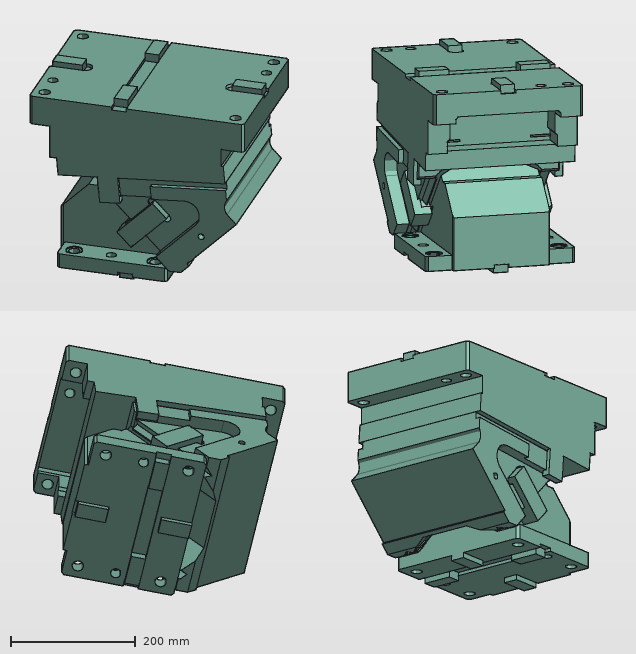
import cadquery as cq
import math


LENGTH = 360.0
HALF_WIDTH = 125.0
TOTAL_HEIGHT = 318.0
CORNER = 4.5
REACH = 432.0
MARGIN = 3.5

KEY_LENGTH = 50.0
KEY_WIDTH = 23.5
KEY_HEIGHT = 8.5
SLOT_WIDTH = 24.5
SLOT_DEPTH = 5.5

JOINT_X = 114.0
JOINT_Z = 180.0
JOINT_TILT = math.radians(5)
JOINT_END = 215.0

RAMP_X = 108.7
RAMP_Z = 151.2


def at_joint(along, above):
    """X and Z of a point given along and above the tilted joint plane."""
    x = JOINT_X + along * math.cos(JOINT_TILT) - above * math.sin(JOINT_TILT)
    z = JOINT_Z + along * math.sin(JOINT_TILT) + above * math.cos(JOINT_TILT)
    return (x, z)


def at_ramp(down, above):
    """X and Z of a point given down the ramp and above its surface."""
    half = math.sqrt(0.5)
    return (RAMP_X + (down + above) * half, RAMP_Z + (above - down) * half)


def square_to_joint_at(along, z):
    """Point at height z on the line that stands square to the joint at the given place."""
    above = (z - JOINT_Z - along * math.sin(JOINT_TILT)) / math.cos(JOINT_TILT)
    return at_joint(along, above)


def prism(points, y_min, y_max):
    """Closed X-Z outline extruded from y_min to y_max."""
    plane = cq.Workplane("XZ", origin=(0, y_max, 0))
    return plane.polyline(points).close().extrude(y_max - y_min)


def frame_block(frame, first, second, y_min, y_max):
    """Rectangular bar given by its (min, max) ranges along and above a tilted frame."""
    corners = [
        frame(first[0], second[0]),
        frame(first[1], second[0]),
        frame(first[1], second[1]),
        frame(first[0], second[1]),
    ]
    return prism(corners, y_min, y_max)


def box(x, y, z):
    """Box given by its (min, max) ranges."""
    size = (x[1] - x[0], y[1] - y[0], z[1] - z[0])
    return cq.Workplane("XY").box(*size, centered=False).translate((x[0], y[0], z[0]))


def both_sides(shape):
    """The shape together with its mirror image across the middle plane."""
    return shape.union(shape.mirror("XZ"))


def round_holes(places, diameter, z_min, z_max):
    """Vertical cylinders at the given X-Y places."""
    plane = cq.Workplane("XY", origin=(0, 0, z_min))
    return plane.pushPoints(places).circle(diameter / 2).extrude(z_max - z_min)


DRIVER_TOP = TOTAL_HEIGHT - KEY_HEIGHT
DRIVER_PLATE_BOTTOM = 259.5
DRIVER_LEFT = 34.2
DRIVER_STEP_Z = 204.0
DRIVER_LIP = -66.2
DRIVER_RIGHT = 322.0
DRIVER_RIGHT_STEP_Z = 229.5

LEG_LENGTH = 34.2
LEG_DEPTH = 44.5
LEG_INNER_Y = 118.8
HOOK_INNER_Y = 112.0
HOOK_TOP = 35.3

RECESS_TOP = 270.7
RECESS_WALL_TOP = 258.0
RECESS_FLOOR = 205.2
RECESS_DEPTH_X = 79.2
RECESS_HALF_WIDTH = 88.0
RECESS_LOW_HALF_WIDTH = 92.0
RECESS_LOW_TOP = 222.5
RECESS_CHAMFER = 4.5
RECESS_ROOF_X = 70.2
STOP_INNER_Y = 59.5
STOP_TOP = 215.3
STOP_BOTTOM = 212.5
STOP_THICKNESS = 3.5

BOLT_INSET = 19.8
BOLT_DIAMETER = 18.0
DOWEL_DIAMETER = 16.2
DOWEL_LEFT_Y = -60.0
DOWEL_RIGHT_Y = 64.8

TOP_CROSS_SLOT_X = 138.0
TOP_CROSS_KEY_Y = 59.8
TOP_END_KEY_GAP = 4.5
TOP_END_SLOT_LENGTH = 67.5


def driver_body():
    """Mounting plate with the stepped body below it, ending on the tilted joint plane."""
    plate = box((0, LENGTH), (-HALF_WIDTH, HALF_WIDTH), (DRIVER_PLATE_BOTTOM, DRIVER_TOP))
    plate = plate.edges("|Z").chamfer(CORNER)
    outline = [
        (DRIVER_LEFT, DRIVER_TOP),
        (DRIVER_LEFT, DRIVER_STEP_Z),
        square_to_joint_at(DRIVER_LIP, DRIVER_STEP_Z),
        at_joint(DRIVER_LIP, 0),
        at_joint(JOINT_END, 0),
        square_to_joint_at(JOINT_END, DRIVER_RIGHT_STEP_Z),
        (DRIVER_RIGHT, DRIVER_RIGHT_STEP_Z),
        (DRIVER_RIGHT, DRIVER_TOP),
    ]
    return plate.union(prism(outline, -HALF_WIDTH, HALF_WIDTH))


def driver_legs():
    """Hooked legs that hang beside the slider and reach under its lips."""
    length = (0, LEG_LENGTH)
    leg = frame_block(at_joint, length, (-LEG_DEPTH, MARGIN), LEG_INNER_Y, HALF_WIDTH)
    hook = frame_block(at_joint, length, (-LEG_DEPTH, -HOOK_TOP), HOOK_INNER_Y, HALF_WIDTH)
    return both_sides(leg.union(hook))


def driver_recess():
    """Opening in the left end, wider near its floor, with two slim stops on its back wall."""
    wall_top_x = RECESS_DEPTH_X - (RECESS_WALL_TOP - RECESS_FLOOR) * math.tan(JOINT_TILT)
    outline = [
        (-MARGIN, RECESS_TOP),
        (-MARGIN, DRIVER_STEP_Z),
        square_to_joint_at(DRIVER_LIP, DRIVER_STEP_Z),
        square_to_joint_at(DRIVER_LIP, RECESS_FLOOR),
        (RECESS_DEPTH_X, RECESS_FLOOR),
        (wall_top_x, RECESS_WALL_TOP),
        (RECESS_ROOF_X, RECESS_TOP),
    ]
    recess = prism(outline, -RECESS_LOW_HALF_WIDTH, RECESS_LOW_HALF_WIDTH)
    opening = (
        cq.Workplane("YZ", origin=(-MARGIN, 0, 0))
        .moveTo(RECESS_LOW_HALF_WIDTH, DRIVER_STEP_Z)
        .lineTo(RECESS_LOW_HALF_WIDTH, RECESS_LOW_TOP)
        .lineTo(RECESS_HALF_WIDTH, RECESS_LOW_TOP + RECESS_CHAMFER)
        .lineTo(RECESS_HALF_WIDTH, RECESS_TOP - RECESS_CHAMFER)
        .lineTo(RECESS_HALF_WIDTH - RECESS_CHAMFER, RECESS_TOP)
        .lineTo(0, RECESS_TOP)
        .lineTo(0, DRIVER_STEP_Z)
        .close()
        .extrude(RECESS_DEPTH_X + MARGIN)
    )
    stop = box(
        (RECESS_DEPTH_X - STOP_THICKNESS, RECESS_DEPTH_X),
        (STOP_INNER_Y, RECESS_LOW_HALF_WIDTH),
        (STOP_BOTTOM, STOP_TOP),
    )
    return recess.intersect(both_sides(opening)).cut(both_sides(stop))


def driver_holes():
    """Corner bolt holes and two offset dowel holes through the plate."""
    left = BOLT_INSET
    right = LENGTH - BOLT_INSET
    bolt_y = HALF_WIDTH - BOLT_INSET
    bolts = [(x, y) for x in (left, right) for y in (-bolt_y, bolt_y)]
    dowels = [(left, DOWEL_LEFT_Y), (right, DOWEL_RIGHT_Y)]
    low = DRIVER_PLATE_BOTTOM - MARGIN
    holes = round_holes(bolts, BOLT_DIAMETER, low, DRIVER_TOP)
    return holes.union(round_holes(dowels, DOWEL_DIAMETER, low, DRIVER_TOP))


def driver_key_slots():
    """Cross slot over the full width and one round-ended slot at each end of the plate."""
    depth = (DRIVER_TOP - SLOT_DEPTH, DRIVER_TOP)
    cross_x = (TOP_CROSS_SLOT_X, TOP_CROSS_SLOT_X + SLOT_WIDTH)
    slots = box(cross_x, (-HALF_WIDTH, HALF_WIDTH), depth)
    for end_x in (0, LENGTH):
        plane = cq.Workplane("XY", origin=(end_x, 0, depth[0]))
        slots = slots.union(plane.slot2D(2 * TOP_END_SLOT_LENGTH, SLOT_WIDTH).extrude(SLOT_DEPTH))
    return slots


def driver_keys():
    """Two cross keys and two end keys standing on the slot floors."""
    height = (DRIVER_TOP - SLOT_DEPTH, TOTAL_HEIGHT)
    cross_x = (TOP_CROSS_SLOT_X, TOP_CROSS_SLOT_X + KEY_WIDTH)
    keys = both_sides(box(cross_x, (TOP_CROSS_KEY_Y, TOP_CROSS_KEY_Y + KEY_LENGTH), height))
    key_y = (SLOT_WIDTH / 2 - KEY_WIDTH, SLOT_WIDTH / 2)
    for start_x in (TOP_END_KEY_GAP, LENGTH - TOP_END_KEY_GAP - KEY_LENGTH):
        keys = keys.union(box((start_x, start_x + KEY_LENGTH), key_y, height))
    return keys


def make_driver():
    body = driver_body().union(driver_legs())
    body = body.cut(driver_recess()).cut(driver_holes()).cut(driver_key_slots())
    return body.union(driver_keys())


BASE_LEFT = 39.5
BASE_RIGHT = 230.8
BASE_BOTTOM = KEY_HEIGHT
BASE_HALF_WIDTH = 81.0
BASE_NOSE_TOP_Z = 142.5
BASE_NOSE_Z = 95.8
BASE_EDGE_DEPTH = 4.5
BASE_EDGE_WIDTH = 1.5

ROOF_HALF_TOP = 44.3
ROOF_RISE = 21.5

FLANGE_LEFT = 46.0
FLANGE_TOP = 33.0
FLANGE_BOLT_X = (69.0, 205.2)
FLANGE_DOWEL_X = 131.5
FLANGE_HOLE_Y = 104.5
SPOTFACE_DIAMETER = 26.5
SPOTFACE_DEPTH = 1.8

BASE_CROSS_SLOT_X = 148.5
BASE_CROSS_KEY_Y = 64.0
BASE_LEFT_KEY_X = 44.3


def base_core():
    """Central block with a sloping nose and the flat shoulders of the ramp."""
    nose_rise = BASE_NOSE_TOP_Z - BASE_NOSE_Z
    below_edge = RAMP_Z - BASE_NOSE_TOP_Z
    outline = [
        (BASE_LEFT, BASE_BOTTOM),
        (BASE_RIGHT, BASE_BOTTOM),
        (BASE_RIGHT, RAMP_Z - (BASE_RIGHT - RAMP_X)),
        (RAMP_X, RAMP_Z),
        (RAMP_X - below_edge, BASE_NOSE_TOP_Z),
        (BASE_LEFT + nose_rise, BASE_NOSE_TOP_Z),
        (BASE_LEFT, BASE_NOSE_Z),
    ]
    core = prism(outline, -BASE_HALF_WIDTH, BASE_HALF_WIDTH)
    bevel = (
        cq.Workplane("XY")
        .moveTo(BASE_LEFT, BASE_HALF_WIDTH - BASE_EDGE_WIDTH)
        .lineTo(BASE_LEFT + BASE_EDGE_DEPTH, BASE_HALF_WIDTH)
        .lineTo(BASE_LEFT, BASE_HALF_WIDTH)
        .close()
        .extrude(BASE_NOSE_TOP_Z)
    )
    return core.cut(both_sides(bevel))


def ramp_plane():
    """Plane square to the ramp at its upper end: local X is Y, local Y is above the ramp."""
    return cq.Workplane(cq.Plane(origin=(RAMP_X, 0, RAMP_Z), xDir=(0, 1, 0), normal=(1, 0, -1)))


def base_roof():
    """Roof-shaped guide that runs down the ramp."""
    outline = [
        (-BASE_HALF_WIDTH, 0),
        (-ROOF_HALF_TOP, ROOF_RISE),
        (ROOF_HALF_TOP, ROOF_RISE),
        (BASE_HALF_WIDTH, 0),
    ]
    roof = ramp_plane().polyline(outline).close().extrude(REACH)
    limits = (-HALF_WIDTH, HALF_WIDTH)
    return roof.intersect(box((0, BASE_RIGHT), limits, (BASE_BOTTOM, TOTAL_HEIGHT)))


def base_flange():
    """Mounting flange, trimmed by the ramp plane, with spotfaced bolt holes and dowel holes."""
    flange = box(
        (FLANGE_LEFT, BASE_RIGHT), (-HALF_WIDTH, HALF_WIDTH), (BASE_BOTTOM, FLANGE_TOP)
    )
    flange = flange.edges("|Z").chamfer(CORNER)
    above_ramp = frame_block(at_ramp, (0, REACH), (0, REACH), -HALF_WIDTH, HALF_WIDTH)
    bolts = [(x, y) for x in FLANGE_BOLT_X for y in (-FLANGE_HOLE_Y, FLANGE_HOLE_Y)]
    dowels = [(FLANGE_DOWEL_X, -FLANGE_HOLE_Y), (FLANGE_DOWEL_X, FLANGE_HOLE_Y)]
    flange = flange.cut(above_ramp)
    flange = flange.cut(round_holes(bolts, BOLT_DIAMETER, 0, FLANGE_TOP))
    flange = flange.cut(round_holes(dowels, DOWEL_DIAMETER, 0, FLANGE_TOP))
    spotface_floor = FLANGE_TOP - SPOTFACE_DEPTH
    return flange.cut(round_holes(bolts, SPOTFACE_DIAMETER, spotface_floor, FLANGE_TOP))


def base_cross_slot():
    """Key slot across the full width of the underside."""
    slot_x = (BASE_CROSS_SLOT_X, BASE_CROSS_SLOT_X + SLOT_WIDTH)
    depth = (BASE_BOTTOM, BASE_BOTTOM + SLOT_DEPTH)
    return box(slot_x, (-HALF_WIDTH, HALF_WIDTH), depth)


def base_end_slots():
    """Key slots that open at the two ends of the underside."""
    slot_y = (-SLOT_WIDTH / 2, SLOT_WIDTH / 2)
    depth = (BASE_BOTTOM, BASE_BOTTOM + SLOT_DEPTH)
    left = box((BASE_LEFT, BASE_LEFT_KEY_X + KEY_LENGTH), slot_y, depth)
    return left.union(box((BASE_RIGHT - KEY_LENGTH, BASE_RIGHT), slot_y, depth))


def base_keys():
    """Two cross keys and two end keys below the underside."""
    height = (0, BASE_BOTTOM + SLOT_DEPTH)
    cross_x = (BASE_CROSS_SLOT_X, BASE_CROSS_SLOT_X + KEY_WIDTH)
    keys = both_sides(box(cross_x, (BASE_CROSS_KEY_Y, BASE_CROSS_KEY_Y + KEY_LENGTH), height))
    key_y = (-SLOT_WIDTH / 2, SLOT_WIDTH / 2)
    for start_x in (BASE_LEFT_KEY_X, BASE_RIGHT - KEY_LENGTH):
        keys = keys.union(box((start_x, start_x + KEY_LENGTH), key_y, height))
    return keys


def make_base():
    body = base_core().union(base_roof()).union(base_flange())
    body = body.cut(base_cross_slot()).cut(base_end_slots())
    return body.union(base_keys())


SLIDER_FRONT = -3.2
SOLE = 2.0
SLIDER_BOTTOM_Z = 28.8
SLIDER_BACK = 184.5
TOE_STEP = 4.5
TOE_HEIGHT = 36.0
TIP_HEIGHT = 152.5
CLEARANCE_DEPTH = 30.2
CLEARANCE_MIDDLE = (327.5, 156.2)
CLEARANCE_END = 162.7

LIP_HALF_WIDTH = 116.5
LIP_DEPTH = 34.5
LIP_CHAMFER = 1.5
CHEEK_DEPTH = 12.0
CHEEK_START = 88.0

POCKET_FLOOR_Y = 104.0
POCKET_END = 144.0
POCKET_RADIUS = 24.0

TUNNEL_HALF_WIDTH = 89.0
TUNNEL_RISE = 27.0

GUIDE_FLAT_Y = (85.5, 87.5)
GUIDE_DROP = 1.5
GROOVE_APEX_Y = 93.0
GROOVE_RISE = 8.3
GROOVE_EDGE_RISE = 1.8
GUIDE_START = 10.8
GUIDE_END = 167.5

CLAW_ALONG = (74.5, 108.5)
CLAW_ABOVE = (-25.0, 59.5)
CLAW_OUTER_Y = 115.0
CLAW_INNER_Y = 85.5
CLAW_TONGUE_Y = 82.0
CLAW_TONGUE_LOW = -13.5
NOTCH_OUTER_Y = 100.5
NOTCH_WIDTH = 13.0
NOTCH_LOW = -10.8
SEAT_GAP = 1.8
RELIEF_RADIUS = 6.0
RELIEF_ABOVE = 54.5
RELIEF_OFFSET = 1.25

SIDE_HOLE = (288.5, 98.3)
SIDE_HOLE_DIAMETER = 10.0
SIDE_HOLE_DEPTH = 14.5
SIDE_HOLE_TIP_ANGLE = 44


def slider_block():
    """Side outline of the slider over the full width."""
    diagonal = math.sqrt(2)
    toe = SLIDER_BACK + TOE_STEP
    toe_drop = (at_ramp(toe, TOE_HEIGHT)[1] - SLIDER_BOTTOM_Z) * diagonal
    sole_down = (at_ramp(0, SOLE)[1] - SLIDER_BOTTOM_Z) * diagonal
    tilt = math.tan(JOINT_TILT)
    front_x, front_z = at_joint(SLIDER_FRONT, 0)
    sole_x, sole_z = at_ramp(0, SOLE)
    front_drop = (front_x + front_z - sole_x - sole_z) / (1 - tilt)
    profile = (
        cq.Workplane("XZ", origin=(0, HALF_WIDTH, 0))
        .moveTo(front_x, front_z)
        .lineTo(*at_joint(JOINT_END, 0))
        .lineTo(*at_joint(JOINT_END, -CLEARANCE_DEPTH))
        .threePointArc(CLEARANCE_MIDDLE, at_ramp(CLEARANCE_END, TIP_HEIGHT))
        .lineTo(*at_ramp(SLIDER_BACK, TIP_HEIGHT))
        .lineTo(*at_ramp(SLIDER_BACK, TOE_HEIGHT))
        .lineTo(*at_ramp(toe, TOE_HEIGHT))
        .lineTo(*at_ramp(toe, TOE_HEIGHT - toe_drop))
        .lineTo(*at_ramp(sole_down, SOLE))
        .lineTo(front_x + front_drop * tilt, front_z - front_drop)
        .close()
    )
    return profile.extrude(2 * HALF_WIDTH)


def lip_clearance():
    """Space beside the lips: above the cheeks, and where the driver legs travel."""
    start_x, start_z = at_joint(SLIDER_FRONT - MARGIN, 0)
    along = (math.cos(JOINT_TILT), 0, math.sin(JOINT_TILT))
    outline = [
        (LIP_HALF_WIDTH - LIP_CHAMFER, 0),
        (LIP_HALF_WIDTH, -LIP_CHAMFER),
        (LIP_HALF_WIDTH, -CHEEK_DEPTH),
        (HALF_WIDTH + MARGIN, -CHEEK_DEPTH),
        (HALF_WIDTH + MARGIN, 0),
    ]
    plane = cq.Plane(origin=(start_x, 0, start_z), xDir=(0, 1, 0), normal=along)
    strip = cq.Workplane(plane).polyline(outline).close().extrude(REACH)
    leg_path = frame_block(
        at_joint, (SLIDER_FRONT - MARGIN, CHEEK_START), (-LIP_DEPTH, 0), LIP_HALF_WIDTH, HALF_WIDTH
    )
    return both_sides(strip.union(leg_path))


def side_pockets():
    """Wide pockets below the lips, open to the sole, with one round corner."""
    under_lip = frame_block(
        at_joint, (-REACH, REACH), (-REACH, -LIP_DEPTH), POCKET_FLOOR_Y, HALF_WIDTH
    )
    above_end = frame_block(
        at_ramp, (-REACH, POCKET_END), (0, REACH), POCKET_FLOOR_Y, HALF_WIDTH
    )
    pocket = under_lip.intersect(above_end)
    return both_sides(pocket.edges("|Y").edges(">X").fillet(POCKET_RADIUS))


def sole_tunnel():
    """Roof-shaped channel in the sole that clears the base guide."""
    outline = [
        (-TUNNEL_HALF_WIDTH, SOLE - MARGIN),
        (-TUNNEL_HALF_WIDTH, SOLE),
        (-ROOF_HALF_TOP, SOLE + TUNNEL_RISE),
        (ROOF_HALF_TOP, SOLE + TUNNEL_RISE),
        (TUNNEL_HALF_WIDTH, SOLE),
        (TUNNEL_HALF_WIDTH, SOLE - MARGIN),
    ]
    return ramp_plane().polyline(outline).close().extrude(2 * REACH, both=True)


def sole_grooves():
    """V grooves along the sole, outside the guide strips."""
    outline = [
        (GUIDE_FLAT_Y[1], SOLE),
        (GROOVE_APEX_Y, SOLE + GROOVE_RISE),
        (POCKET_FLOOR_Y, SOLE + GROOVE_EDGE_RISE),
        (POCKET_FLOOR_Y, SOLE),
    ]
    plane = ramp_plane().workplane(offset=GUIDE_START)
    return both_sides(plane.polyline(outline).close().extrude(REACH))


def guide_strips():
    """Narrow strips that stand below the sole beside the base guide."""
    outline = [
        (GUIDE_FLAT_Y[0], SOLE + GROOVE_RISE),
        (GUIDE_FLAT_Y[0], SOLE - GUIDE_DROP),
        (GUIDE_FLAT_Y[1], SOLE - GUIDE_DROP),
        (GROOVE_APEX_Y, SOLE + GROOVE_RISE),
    ]
    plane = ramp_plane().workplane(offset=GUIDE_START)
    return both_sides(plane.polyline(outline).close().extrude(GUIDE_END - GUIDE_START))


def claw_notch():
    """Space on the inner upper flank of one claw, where the sole reaches past it."""
    along = (CLAW_ALONG[0] - 2 * RELIEF_RADIUS, CLAW_ALONG[0] + NOTCH_WIDTH)
    above = (NOTCH_LOW, REACH)
    return frame_block(at_ramp, along, above, CLAW_TONGUE_Y, NOTCH_OUTER_Y)


def claw_seats():
    """Seats for the claws, with round reliefs in the upper corners."""
    above = (0, CLAW_ABOVE[1] + SEAT_GAP)
    seat = frame_block(at_ramp, CLAW_ALONG, above, CLAW_INNER_Y, POCKET_FLOOR_Y)
    low, high = CLAW_ALONG
    for along in (low - RELIEF_OFFSET, high + RELIEF_OFFSET):
        plane = cq.Workplane("XZ", origin=(0, POCKET_FLOOR_Y, 0))
        relief = plane.center(*at_ramp(along, RELIEF_ABOVE)).circle(RELIEF_RADIUS)
        seat = seat.union(relief.extrude(POCKET_FLOOR_Y - CLAW_INNER_Y))
    return both_sides(seat.cut(claw_notch()))


def claws():
    """Bars that reach past the sole along the sides of the base, with a shorter, notched inner tongue."""
    bar = frame_block(at_ramp, CLAW_ALONG, CLAW_ABOVE, CLAW_INNER_Y, CLAW_OUTER_Y)
    tongue = frame_block(
        at_ramp, CLAW_ALONG, (CLAW_TONGUE_LOW, CLAW_ABOVE[1]), CLAW_TONGUE_Y, CLAW_INNER_Y
    )
    return both_sides(bar.union(tongue).cut(claw_notch()))


def side_holes():
    """Blind holes with conical bottoms in both cheeks."""
    radius = SIDE_HOLE_DIAMETER / 2
    plane = cq.Workplane("XZ", origin=(0, HALF_WIDTH, 0)).center(*SIDE_HOLE)
    hole = plane.circle(radius).extrude(SIDE_HOLE_DEPTH)
    tip = hole.faces("<Y").workplane().circle(radius).extrude(radius, taper=SIDE_HOLE_TIP_ANGLE)
    return both_sides(tip)


def make_slider():
    body = slider_block().cut(lip_clearance()).cut(side_pockets()).cut(sole_tunnel())
    body = body.cut(sole_grooves()).union(guide_strips())
    body = body.cut(claw_seats()).union(claws())
    return body.cut(side_holes())


driver = make_driver()
base = make_base()
slider = make_slider()
result = cq.Compound.makeCompound([driver.val(), base.val(), slider.val()])